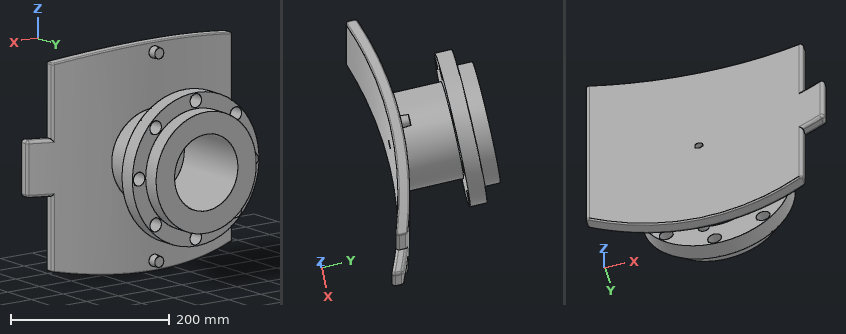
import cadquery as cq


plate_width = 284.0
plate_height = 300.0
plate_side_height = 271.5
plate_thickness = 15.0
back_radius = 420.2
front_radius = back_radius - plate_thickness
edge_round = 4.0
small_round = 2.0

tab_reach = 173.0
tab_height = 75.0
tab_overlap = 12.5

overall_back = 110.5
boss_diameter = 158.0
boss_length = 22.0
flange_diameter = 200.0
flange_thickness = 22.0
tube_diameter = 126.3
bore_diameter = 100.0
flange_back = overall_back - boss_length
flange_front = flange_back - flange_thickness

bolt_count = 8
bolt_diameter = 18.0
bolt_circle_diameter = 179.0
pin_tip_diameter = 14.2
pin_base_diameter = 16.0
pin_root_depth = 1.5
pin_length = 11.0
pin_offset = 135.8
centre_hole_diameter = 10.5

plate_front_limit = -94.5


def cylinder_y(diameter, start, end, z=0):
    """Cylinder along Y between two Y positions."""
    base = cq.Workplane("XZ", origin=(0, start, z))
    return base.circle(diameter / 2).extrude(start - end)


def plate_outline():
    """Prism along Y with straight sides and bowed top and bottom edges."""
    half_width = plate_width / 2
    half_side = plate_side_height / 2
    return (
        cq.Workplane("XZ")
        .moveTo(-half_width, -half_side)
        .threePointArc((0, -plate_height / 2), (half_width, -half_side))
        .lineTo(half_width, half_side)
        .threePointArc((0, plate_height / 2), (-half_width, half_side))
        .close()
        .extrude(-plate_front_limit)
    )


def curved_shell():
    """Shell between the concentric front and back cylinders, axis along Z."""
    return (
        cq.Workplane("XY", origin=(0, -back_radius, -plate_height / 2))
        .circle(back_radius)
        .circle(front_radius)
        .extrude(plate_height)
    )


def rounded_plate():
    """Curved plate with rounded sides and smaller rounds along the bowed ends."""
    body = plate_outline().intersect(curved_shell())
    body = body.faces("<X or >X").edges("|Z").fillet(edge_round)
    return body.faces("<Z or >Z").edges().fillet(small_round)


def rounded_tab():
    """Tab that continues the plate's curve, with all free edges rounded."""
    root = plate_width / 2 - tab_overlap
    outline = (
        cq.Workplane("XZ")
        .center((root + tab_reach) / 2, 0)
        .rect(tab_reach - root, tab_height)
        .extrude(-plate_front_limit)
    )
    body = outline.intersect(curved_shell())
    root_edges = body.faces("<X").edges().vals()
    free_edges = [edge for edge in body.edges().vals() if not any(edge.isSame(other) for other in root_edges)]
    return body.newObject(free_edges).fillet(edge_round)


def behind_plate(body):
    """Trim away whatever reaches in front of the plate's mid-thickness."""
    mid_radius = back_radius - plate_thickness / 2
    core = (
        cq.Workplane("XY", origin=(0, -back_radius, -plate_height / 2))
        .circle(mid_radius)
        .extrude(plate_height)
    )
    return body.cut(core)


def mount():
    """Tube, bolt flange and rear boss."""
    body = behind_plate(cylinder_y(tube_diameter, -plate_thickness, flange_front))
    body = body.union(cylinder_y(flange_diameter, flange_front, flange_back))
    body = body.union(cylinder_y(boss_diameter, flange_back, overall_back))
    bolts = (
        cq.Workplane("XZ", origin=(0, flange_front, 0))
        .polarArray(bolt_circle_diameter / 2, 0, 360, bolt_count)
        .circle(bolt_diameter / 2)
        .extrude(-flange_thickness)
    )
    return body.cut(bolts)


def bore():
    """Open bore through the mount, ending on the convex back of the plate."""
    return cylinder_y(bore_diameter, -plate_thickness, overall_back).cut(curved_shell())


def pin(z):
    """Tapered pin on the back of the plate, sunk a little into it."""
    return (
        cq.Workplane("XZ", origin=(0, -pin_root_depth, z))
        .circle(pin_base_diameter / 2)
        .workplane(offset=-pin_root_depth - pin_length)
        .circle(pin_tip_diameter / 2)
        .loft()
    )


result = rounded_plate().union(rounded_tab()).union(mount())
for side in (-1, 1):
    result = result.union(pin(side * pin_offset))
result = result.cut(bore())
result = result.cut(cylinder_y(centre_hole_diameter, plate_front_limit, overall_back))